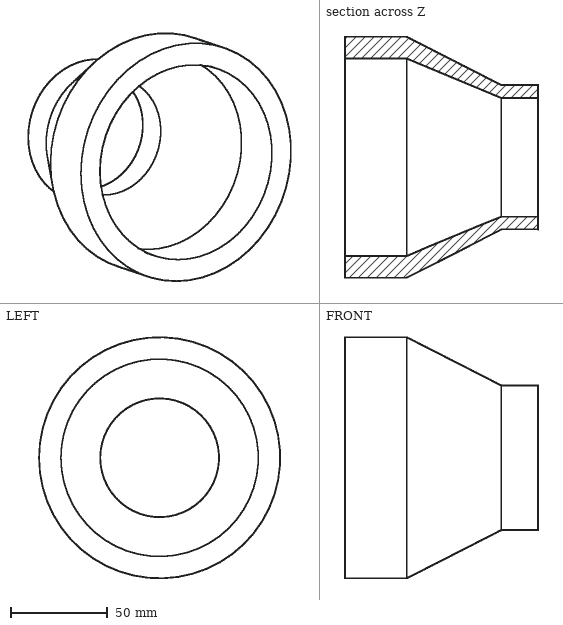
import cadquery as cq

total_length = 100.0
large_end_length = 32.0
small_end_length = 19.0

large_outer_diameter = 125.0
large_bore_diameter = 102.2
small_outer_diameter = 75.0
small_bore_diameter = 61.4

cone_start = large_end_length
cone_end = total_length - small_end_length


def reducer_solid(large_diameter, small_diameter):
    """Solid of revolution: large cylinder, cone, small cylinder."""
    large_radius = large_diameter / 2
    small_radius = small_diameter / 2
    half_profile = (
        cq.Workplane("XY")
        .moveTo(0, 0)
        .lineTo(0, large_radius)
        .lineTo(cone_start, large_radius)
        .lineTo(cone_end, small_radius)
        .lineTo(total_length, small_radius)
        .lineTo(total_length, 0)
        .close()
    )
    return half_profile.revolve(360, (0, 0, 0), (1, 0, 0))


body = reducer_solid(large_outer_diameter, small_outer_diameter)
bore = reducer_solid(large_bore_diameter, small_bore_diameter)

result = body.cut(bore)